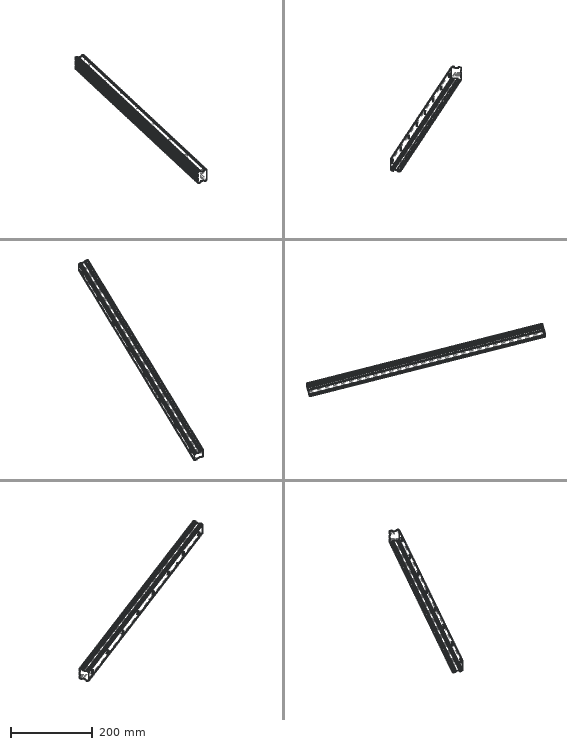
import cadquery as cq
import math

length = 600.0
depth = 26.0
height = 34.0

head_raceway_size = 3.0
waist_raceway_size = 3.3
raceway_sagitta = 0.9
crest_width = 3.5

waist_floor = 6.0

base_chamfer = 2.0

land_half_width = 3.0
groove_depth = 1.0
groove_flank = groove_depth
groove_floor = 4.0

hole_diameter = 9.0
hole_count = 8
hole_pitch = length * 2 / 15


def raceway_middle(start, end, inward_y):
    """Middle point of a 45 degree concave raceway; inward_y is +1 or -1, pointing into the head."""
    sink = raceway_sagitta / math.sqrt(2)
    mid_y = (start[0] + end[0]) / 2
    mid_z = (start[1] + end[1]) / 2
    return (mid_y + inward_y * sink, mid_z - sink)


def half_body():
    """The half of the rail above the plane Z = 0."""
    base_y = -depth / 2
    head_y = depth / 2
    top_z = height / 2
    waist_z = top_z - waist_raceway_size

    groove_y = base_y + groove_depth
    groove_start = land_half_width + groove_flank
    groove_end = groove_start + groove_floor

    crest_head_end = (head_y - head_raceway_size, top_z)
    crest_waist_end = (crest_head_end[0] - crest_width, top_z)
    waist_head_end = (crest_waist_end[0] - waist_raceway_size, waist_z)
    waist_base_end = (waist_head_end[0] - waist_floor, waist_z)
    base_top_edge = (waist_base_end[0] - waist_raceway_size, top_z)
    head_face_edge = (head_y, top_z - head_raceway_size)

    return (
        cq.Workplane("YZ")
        .moveTo(base_y, 0)
        .lineTo(base_y, land_half_width)
        .lineTo(groove_y, groove_start)
        .lineTo(groove_y, groove_end)
        .lineTo(base_y, groove_end + groove_flank)
        .lineTo(base_y, top_z - base_chamfer)
        .lineTo(base_y + base_chamfer, top_z)
        .lineTo(*base_top_edge)
        .lineTo(*waist_base_end)
        .lineTo(*waist_head_end)
        .threePointArc(raceway_middle(waist_head_end, crest_waist_end, 1), crest_waist_end)
        .lineTo(*crest_head_end)
        .threePointArc(raceway_middle(crest_head_end, head_face_edge, -1), head_face_edge)
        .lineTo(head_y, 0)
        .close()
        .extrude(length / 2, both=True)
    )


def rail_body():
    half = half_body()
    return half.union(half.mirror("XY")).clean()


def mounting_holes():
    return (
        cq.Workplane("XZ")
        .rarray(hole_pitch, 6, hole_count, 1)
        .circle(hole_diameter / 2)
        .extrude(depth, both=True)
    )


result = rail_body().cut(mounting_holes())